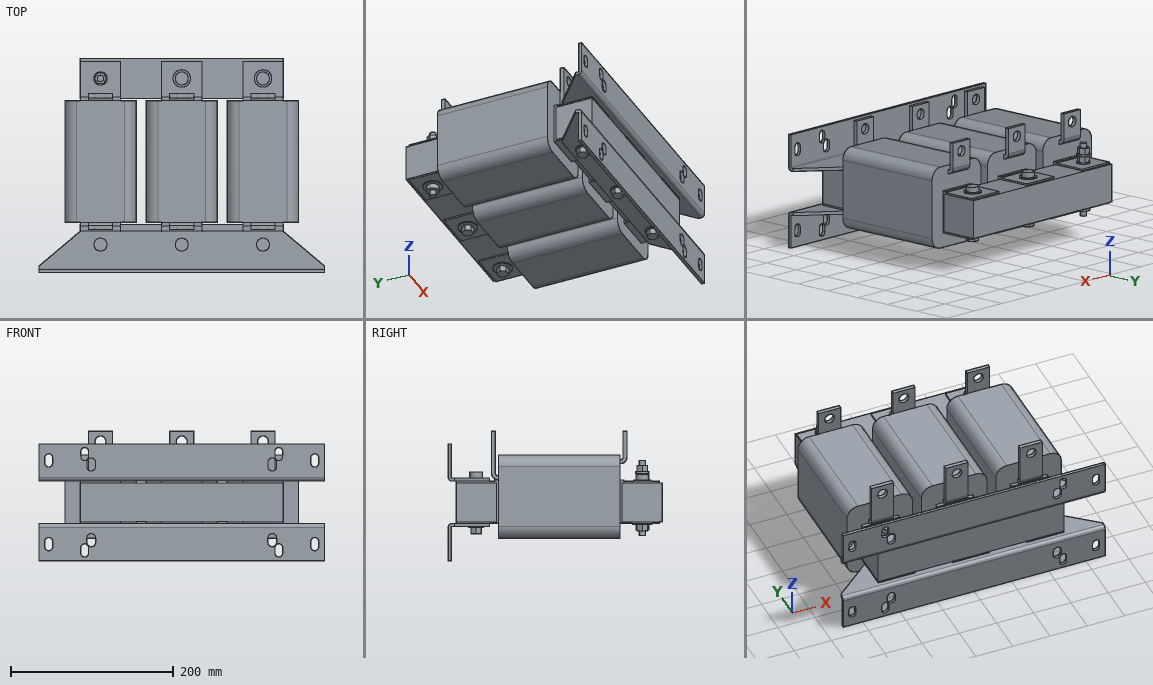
import cadquery as cq
import math


limb_pitch = 100
limb_width = 49.5
limb_centers = (-limb_pitch, 0, limb_pitch)
core_width = 250
core_length = 254
core_height = 48
yoke_depth = 49.5
core_top = core_height / 2
yoke_center_y = (core_length - yoke_depth) / 2

coil_width = 88
coil_length = 150
coil_top = 58.5
coil_bottom = -44.5
coil_radius = 14.75
coil_end_y = coil_length / 2

strip_thickness = 2
strip_rear_setback = 3.75
strip_front_setback = 0.25
strip_top = core_top + strip_thickness
tab_thickness = 1.5
tab_reach = 4.5

terminal_width = 30
terminal_thickness = 5
terminal_reach = 8.5
terminal_bend_radius = 8
terminal_top = 87.5
terminal_embed = 5
terminal_hole_diameter = 13
terminal_hole_drop = 12.5
front_leg_bottom = 27.75
rear_leg_bottom = 47.5

bracket_length = 352
bracket_thickness = 4
bracket_bend_radius = 4.75
bracket_depth = 51
bracket_end_depth = 8
bracket_half_span = 72
bracket_front_y = -136.75
bracket_back_y = bracket_front_y + bracket_depth
bracket_outer_z = strip_top + bracket_thickness
slot_length = 16
bracket_slots = ((163.75, 51.5, 9.5), (119.5, 59.25, 9.25), (111.5, 46.5, 10.75))

bolt_diameter = 8
head_diameter = 16
head_height = 6.5
nut_across_flats = 13
nut_corner_diameter = nut_across_flats / math.cos(math.pi / 6)
nut_height = 7.75
rear_washer_thickness = 1.5
rear_washer_top_diameter = 21.5
rear_washer_bottom_diameter = 24.5
front_washer_thickness = 1
front_washer_diameter = 18.5
stud_washer_diameter = 16.5
stud_washer_thickness = 2.5
stud_top = 51.5
stud_bottom = -41


def box_between(x_range, y_range, z_range):
    """Box spanning the given (low, high) range on each axis."""
    (x0, x1), (y0, y1), (z0, z1) = x_range, y_range, z_range
    return cq.Workplane("XY").box(x1 - x0, y1 - y0, z1 - z0, centered=False).translate((x0, y0, z0))


def disc(x, y, z, diameter, height):
    """Upright cylinder whose base is at height z."""
    return cq.Workplane("XY", origin=(x, y, z)).circle(diameter / 2).extrude(height)


def hex_nut(x, y, z):
    """Hexagonal nut with two corners on the X direction and its base at height z."""
    return cq.Workplane("XY", origin=(x, y, z)).polygon(6, nut_corner_diameter).extrude(nut_height)


def make_core():
    """Two yokes joined by three limbs, the limbs slightly set in from the yoke ends."""
    yokes = (
        cq.Workplane("XY")
        .pushPoints([(0, -yoke_center_y), (0, yoke_center_y)])
        .box(core_width, yoke_depth, core_height)
    )
    limbs = (
        cq.Workplane("XY")
        .pushPoints([(x, 0) for x in limb_centers])
        .box(limb_width, core_length - yoke_depth, core_height)
    )
    return yokes.union(limbs)


def make_coil(x):
    """Wound block around one limb with rounded long edges."""
    coil_x = (x - coil_width / 2, x + coil_width / 2)
    coil = box_between(coil_x, (-coil_end_y, coil_end_y), (coil_bottom, coil_top))
    return coil.edges("|Y").fillet(coil_radius)


def make_insulation(x):
    """Insulation above and below one limb, with a tab on top reaching out past both coil ends."""
    limb_x = (x - limb_width / 2, x + limb_width / 2)
    strip_y = (strip_front_setback - core_length / 2, core_length / 2 - strip_rear_setback)
    strips = box_between(limb_x, strip_y, (-strip_top, strip_top))
    tab_end = coil_end_y + tab_reach
    tab = box_between(limb_x, (-tab_end, tab_end), (strip_top, strip_top + tab_thickness))
    return strips.union(tab)


def make_terminal(x, side, leg_bottom):
    """Bent flat bar leaving the coil end on the given Y side (+1 rear, -1 front)."""
    inner_y = side * (coil_end_y - terminal_embed)
    outer_y = side * (coil_end_y + terminal_reach)
    near_y = outer_y - side * terminal_thickness
    bend_y = outer_y - side * terminal_bend_radius
    bend_z = leg_bottom + terminal_bend_radius
    inner_radius = terminal_bend_radius - terminal_thickness
    diagonal = math.sqrt(0.5)
    outer_mid = (bend_y + side * terminal_bend_radius * diagonal, bend_z - terminal_bend_radius * diagonal)
    inner_mid = (bend_y + side * inner_radius * diagonal, bend_z - inner_radius * diagonal)
    terminal = (
        cq.Workplane("YZ", origin=(x, 0, 0))
        .moveTo(inner_y, leg_bottom)
        .lineTo(bend_y, leg_bottom)
        .threePointArc(outer_mid, (outer_y, bend_z))
        .lineTo(outer_y, terminal_top)
        .lineTo(near_y, terminal_top)
        .lineTo(near_y, bend_z)
        .threePointArc(inner_mid, (bend_y, leg_bottom + terminal_thickness))
        .lineTo(inner_y, leg_bottom + terminal_thickness)
        .close()
        .extrude(terminal_width / 2, both=True)
    )
    hole = (
        cq.Workplane("XZ", origin=(x, near_y, terminal_top - terminal_hole_drop))
        .circle(terminal_hole_diameter / 2)
        .extrude(2 * terminal_thickness, both=True)
    )
    return terminal.cut(hole)


def make_upper_bracket():
    """Angle with a tapered flange lying on the core and a slotted flange standing up in front."""
    half_length = bracket_length / 2
    x_range = (-half_length, half_length)
    y_range = (bracket_front_y, bracket_back_y)
    inner_y = bracket_front_y + bracket_thickness
    bracket = box_between(x_range, y_range, (strip_top, bracket_half_span))
    clearance = box_between(x_range, (inner_y, bracket_back_y), (bracket_outer_z, bracket_half_span))
    bracket = bracket.cut(clearance)
    bracket = bracket.edges("|X and <Y and <Z").fillet(bracket_bend_radius)
    inner_bend = cq.selectors.NearestToPointSelector((0, inner_y, bracket_outer_z))
    bracket = bracket.edges(inner_bend).fillet(bracket_bend_radius - bracket_thickness)

    taper_start_y = bracket_front_y + bracket_end_depth
    plan = (
        cq.Workplane("XY")
        .moveTo(-half_length, bracket_front_y)
        .lineTo(half_length, bracket_front_y)
        .lineTo(half_length, taper_start_y)
        .lineTo(core_width / 2, bracket_back_y)
        .lineTo(-core_width / 2, bracket_back_y)
        .lineTo(-half_length, taper_start_y)
        .close()
        .extrude(bracket_half_span)
    )
    bracket = bracket.intersect(plan)

    for offset_x, height, width in bracket_slots:
        slots = (
            cq.Workplane("XZ", origin=(0, inner_y, 0))
            .pushPoints([(-offset_x, height), (offset_x, height)])
            .slot2D(slot_length, width, 90)
            .extrude(bracket_thickness)
        )
        bracket = bracket.cut(slots)
    return bracket


def make_bolt(x, y, seat_z, washer_thickness, top_washer_diameter, bottom_washer_diameter):
    """Round-headed bolt clamping between -seat_z and +seat_z, with its nut underneath."""
    head_z = seat_z + washer_thickness
    bolt = disc(x, y, seat_z, top_washer_diameter, washer_thickness)
    bolt = bolt.union(disc(x, y, head_z, head_diameter, head_height))
    bolt = bolt.union(disc(x, y, -head_z, bottom_washer_diameter, washer_thickness))
    return bolt.union(hex_nut(x, y, -head_z - nut_height))


def make_stud(x, y):
    """Earthing stud: round head below the core, two nuts with a washer between them above it."""
    lower_nut_z = strip_top + rear_washer_thickness
    washer_z = lower_nut_z + nut_height
    upper_nut_z = washer_z + stud_washer_thickness
    stud = disc(x, y, stud_bottom, bolt_diameter, stud_top - stud_bottom)
    stud = stud.union(disc(x, y, strip_top, stud_washer_diameter, rear_washer_thickness))
    stud = stud.union(hex_nut(x, y, lower_nut_z))
    stud = stud.union(disc(x, y, washer_z, stud_washer_diameter, stud_washer_thickness))
    stud = stud.union(hex_nut(x, y, upper_nut_z))
    stud = stud.union(disc(x, y, -lower_nut_z, rear_washer_bottom_diameter, rear_washer_thickness))
    return stud.union(disc(x, y, -lower_nut_z - head_height, head_diameter, head_height))


result = make_core()
for center_x in limb_centers:
    result = result.union(make_insulation(center_x))
    result = result.union(make_coil(center_x))
    result = result.union(make_terminal(center_x, 1, rear_leg_bottom))
    result = result.union(make_terminal(center_x, -1, front_leg_bottom))

upper_bracket = make_upper_bracket()
result = result.union(upper_bracket).union(upper_bracket.mirror("XY"))

for center_x in limb_centers:
    front_bolt = make_bolt(
        center_x, -yoke_center_y, bracket_outer_z,
        front_washer_thickness, head_diameter, front_washer_diameter,
    )
    result = result.union(front_bolt)

result = result.union(make_stud(limb_centers[0], yoke_center_y))
for center_x in limb_centers[1:]:
    rear_bolt = make_bolt(
        center_x, yoke_center_y, strip_top,
        rear_washer_thickness, rear_washer_top_diameter, rear_washer_bottom_diameter,
    )
    result = result.union(rear_bolt)